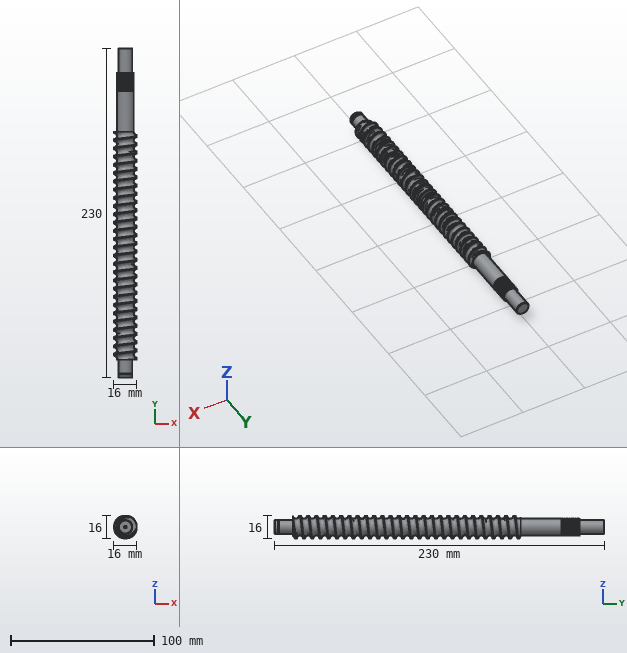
import cadquery as cq
import math


total_length = 230.0
drive_journal_length = 17.0
knurl_length = 12.9
thread_start_inset = 58.5
tail_journal_length = 12.9
end_chamfer = 0.5

journal_dia = 10.0
core_dia = 12.0
thread_dia = 16.0

pitch = 5.8
groove_radius = 2.23
crest_fillet = 0.35

knurl_teeth = 30
knurl_rows = 20
knurl_depth = 0.35

ring_groove_dia = 9.7
ring_groove_width = 1.2
ring_groove_inset = 2.3
center_hole_dia = 2.0
center_hole_angle = 60.0
pilot_dia = 1.0
pilot_depth = 2.3

drive_end = total_length / 2
tail_end = -total_length / 2
knurl_top = drive_end - drive_journal_length
knurl_bottom = knurl_top - knurl_length
thread_top = drive_end - thread_start_inset
thread_bottom = tail_end + tail_journal_length
ring_groove_bottom = tail_end + ring_groove_inset


def along_y(solid, bottom):
    """Turn a part built upward from Z = 0 onto the Y axis, with its foot at the given station."""
    return solid.rotate((0, 0, 0), (1, 0, 0), -90).translate((0, bottom, 0))


def cylinder(dia, bottom, top):
    return along_y(cq.Workplane("XY").circle(dia / 2).extrude(top - bottom), bottom)


def thread():
    """Threaded length, made by twisting its cross-section along the shaft.

    The axial profile has a crest at offset 0 and a groove at half a pitch. Wrapping that
    profile once around the axis gives the cross-section.
    """
    tip_radius = thread_dia / 2
    groove_offset = pitch / 2
    groove_height = core_dia / 2 + groove_radius
    fillet_height = tip_radius - crest_fillet
    center_distance = groove_radius + crest_fillet
    center_drop = groove_height - fillet_height
    half_crest = groove_offset - math.sqrt(center_distance**2 - center_drop**2)
    tangent_angle = math.asin(center_drop / center_distance)
    fillet_steps = 4
    groove_steps = 8

    first_crest = thread_top - pitch / 2
    start_angle = 2 * math.pi * (thread_bottom - first_crest) / pitch

    def wrap(offset, radius):
        angle = start_angle - 2 * math.pi * offset / pitch
        return radius * math.cos(angle), radius * math.sin(angle)

    def fillet_point(step, side):
        """Points from the crest (step 0) down to the groove, on either side of the crest."""
        angle = math.pi / 2 + (tangent_angle - math.pi / 2) * step / fillet_steps
        offset = half_crest + crest_fillet * math.cos(angle)
        return wrap(side * offset, fillet_height + crest_fillet * math.sin(angle))

    def groove_point(step):
        """Points from one side of the groove through its bottom to the other side."""
        first_angle = math.pi + tangent_angle
        sweep = math.pi - 2 * tangent_angle
        angle = first_angle + sweep * step / groove_steps
        offset = groove_offset + groove_radius * math.cos(angle)
        return wrap(offset, groove_height + groove_radius * math.sin(angle))

    falling_fillet = [fillet_point(step, 1) for step in range(1, fillet_steps + 1)]
    groove = [groove_point(step) for step in range(1, groove_steps + 1)]
    rising_fillet = [fillet_point(step, -1) for step in range(fillet_steps - 1, -1, -1)]
    section = (
        cq.Workplane("XY")
        .moveTo(*wrap(-half_crest, tip_radius))
        .threePointArc(wrap(0, tip_radius), wrap(half_crest, tip_radius))
        .spline(falling_fillet, includeCurrent=True)
        .spline(groove, includeCurrent=True)
        .spline(rising_fillet, includeCurrent=True)
        .close()
    )
    length = thread_top - thread_bottom
    return along_y(section.twistExtrude(length, 360 * length / pitch), thread_bottom)


def knurl():
    """Knurled length: rows of four-sided pyramids with tips on the core diameter."""

    def node(column, row):
        """Tips and valleys alternate around the shaft and along it."""
        is_tip = (column + row) % 2 == 0
        radius = core_dia / 2 if is_tip else core_dia / 2 - knurl_depth
        angle = math.pi * column / knurl_teeth
        height = knurl_length * row / knurl_rows
        return cq.Vector(radius * math.cos(angle), radius * math.sin(angle), height)

    def flat_face(corners):
        return cq.Face.makeFromWires(cq.Wire.makePolygon(corners, close=True))

    columns = 2 * knurl_teeth
    faces = []
    for row in range(knurl_rows + 1):
        neighbour_rows = [near for near in (row - 1, row + 1) if 0 <= near <= knurl_rows]
        for column in range(row % 2, columns, 2):
            tip = node(column, row)
            for near_row in neighbour_rows:
                for near_column in (column - 1, column + 1):
                    faces.append(flat_face([tip, node(near_column, row), node(column, near_row)]))
    for row in (0, knurl_rows):
        faces.append(flat_face([node(column, row) for column in range(columns)]))
    solid = cq.Solid.makeSolid(cq.Shell.makeShell(faces))
    return along_y(cq.Workplane(solid), knurl_bottom)


def ring_groove():
    top = ring_groove_bottom + ring_groove_width
    outside = cylinder(thread_dia, ring_groove_bottom, top)
    return outside.cut(cylinder(ring_groove_dia, ring_groove_bottom, top))


def center_hole():
    """Conical mouth narrowing to a pilot hole."""
    mouth_radius = center_hole_dia / 2
    pilot_radius = pilot_dia / 2
    cone_depth = (mouth_radius - pilot_radius) / math.tan(math.radians(center_hole_angle / 2))
    cone = cq.Workplane(cq.Solid.makeCone(mouth_radius, pilot_radius, cone_depth))
    return along_y(cone, tail_end).union(cylinder(pilot_dia, tail_end, tail_end + pilot_depth))


drive_journal = cylinder(journal_dia, knurl_top, drive_end).faces(">Y").chamfer(end_chamfer)
core = cylinder(core_dia, thread_top, knurl_bottom)
tail_journal = (
    cylinder(journal_dia, tail_end, thread_bottom)
    .faces("<Y")
    .chamfer(end_chamfer)
    .cut(ring_groove())
    .cut(center_hole())
)

result = drive_journal.union(knurl()).union(core).union(thread()).union(tail_journal)